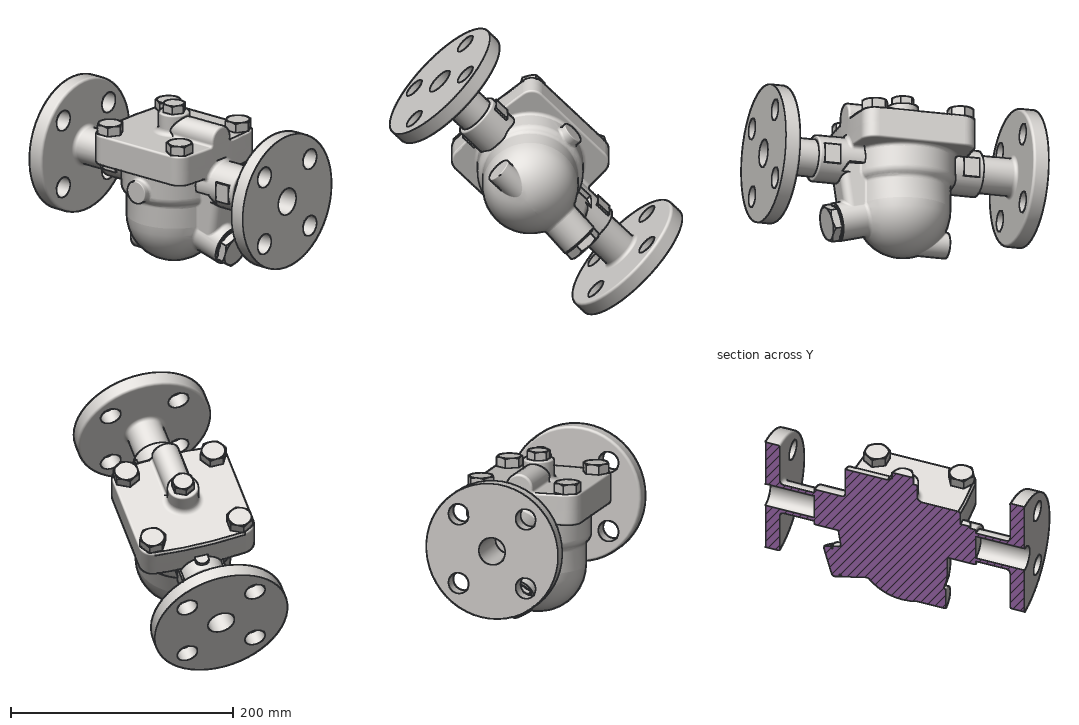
import cadquery as cq
import math

FACE_TO_FACE = 250.0
FLANGE_DIA = 125.0
FLANGE_THICKNESS = 14.4
FLANGE_EDGE_RADIUS = 2.5
FLANGE_HOLE_DIA = 19.0
FLANGE_HOLE_CIRCLE = 90.0
FLANGE_HOLE_COUNT = 4
FLANGE_HOLE_START = 180.0 / FLANGE_HOLE_COUNT
BORE_DIA = 25.0
PIPE_DIA = 34.0
PIPE_ROOT_RADIUS = 3.5

HUB_DIA = 42.0
HUB_END = 78.0
HUB_EDGE_RADIUS = 1.5
HUB_ROOT_RADIUS = 3.0
HUB_PAD_LENGTH = 15.0
HUB_PAD_HEIGHT = 17.6
HUB_PAD_CENTER = 66.1
LUG_RADIUS = 6.2
LUG_CENTER = 66.3
BORE_DEPTH = FACE_TO_FACE / 2 - HUB_END

BODY_X = -7.5
BOWL_RADIUS = 43.0
BOWL_BOTTOM = -84.0
BOWL_CENTER_Z = BOWL_BOTTOM + BOWL_RADIUS
NECK_RADIUS = 47.5
NECK_ROOT_RADIUS = 3.0
SHOULDER_TOP = -11.8
SHOULDER_MIDDLE = -18.3
SHOULDER_BOTTOM = -22.2

COVER_BOTTOM = 9.2
COVER_SPLIT = 23.2
COVER_TOP = 37.5
COVER_EDGE_RADIUS = 2.0
COVER_HALF_X = 55.8
COVER_HALF_Y = 54.0
CORNER_RADIUS = 13.0
BOLT_X = 40.7
BOLT_Y = COVER_HALF_Y - CORNER_RADIUS
BOLT_HEAD_FLATS = 21.0
BOLT_HEAD_HEIGHT = 9.0
QUARTER_TURN = 90.0

COVER_BOSS_DIA = 28.0
COVER_BOSS_TOP = 56.2
COVER_BOSS_ROOT_RADIUS = 5.0
COVER_BOSS_EDGE_RADIUS = 1.5
COVER_PLUG_CORNERS = 21.0
COVER_PLUG_TOP = 64.0
PASSAGE_RADIUS = 12.6
PASSAGE_TOP = 53.9
PASSAGE_ROOT_RADIUS = 2.5

SIDE_BOSS_DIA = 21.0
SIDE_BOSS_Z = -7.3
SIDE_BOSS_FACE = 53.4
SIDE_BOSS_ROOT_RADIUS = 2.5
SMALL_EDGE_RADIUS = 0.8

LOW_BOSS_DIA = 23.6
LOW_BOSS_Z = -70.0
LOW_BOSS_FACE = -49.0
LOW_BOSS_ROOT_RADIUS = 1.0

STRAINER_ANGLE = 15.0
STRAINER_DIA = 35.0
STRAINER_LENGTH = 66.0
STRAINER_HEAD_START = 67.0
STRAINER_HEAD_END = 75.0
STRAINER_HEAD_CORNERS = 34.6
STRAINER_ROOT_RADIUS = 3.5
RIB_HALF_WIDTH = 15.5
RIB_CORNER_RADIUS = 7.5
RIB_ROOT_RADIUS = 2.5
RIB_OUTER_X = 58.0
RIB_LEAN = 8.5
RIB_RECESS_TOP = -5.6
RIB_RECESS_TOP_X = 49.6
RIB_RECESS_BOTTOM_X = 60.0

CORNER_TO_FLAT = math.cos(math.pi / 6)
HEX_CHAMFER_ANGLE = 30.0

SURFACE_TOLERANCE = 0.001


def on_surface(edge, shape):
    """Tell whether the middle of an edge lies on the skin of a shape."""
    middle = cq.Vertex.makeVertex(*edge.positionAt(0.5).toTuple())
    return shape.shells().val().distance(middle) < SURFACE_TOLERANCE


def blend(base, addition, radius):
    """Join two shapes and round the seam where their surfaces meet."""
    joined = base.union(addition)
    seam = [
        edge for edge in joined.edges().vals()
        if on_surface(edge, base) and on_surface(edge, addition)
    ]
    return joined.newObject(seam).fillet(radius)


def cylinder_x(dia, x_start, x_end, z=0.0):
    """Solid round bar along X."""
    return cq.Workplane("YZ", origin=(x_start, 0, z)).circle(dia / 2).extrude(x_end - x_start)


def hex_head(corners, height, turn=0.0):
    """Hexagonal head standing on the XY plane, top corners chamfered down to the flats."""
    prism = cq.Workplane("XY").polygon(6, corners).extrude(height)
    prism = prism.rotate((0, 0, 0), (0, 0, 1), turn)
    chamfer_width = corners / 2 * (1 - CORNER_TO_FLAT)
    chamfer_drop = chamfer_width * math.tan(math.radians(HEX_CHAMFER_ANGLE))
    cap = cq.Workplane("XY").circle(corners / 2).extrude(height)
    cap = cap.faces(">Z").edges().chamfer(chamfer_drop, chamfer_width)
    return prism.intersect(cap)


def line_side():
    """Flange, pipe and hub on the -X side, with bolt holes and a blind bore."""
    end = -FACE_TO_FACE / 2
    flange = cylinder_x(FLANGE_DIA, end, end + FLANGE_THICKNESS)
    flange = flange.faces(">X").edges().fillet(FLANGE_EDGE_RADIUS)
    hub = cylinder_x(HUB_DIA, -HUB_END, BODY_X).faces("<X").edges().fillet(HUB_EDGE_RADIUS)
    root_face = end + FLANGE_THICKNESS
    pipe = (
        cq.Workplane("XY")
        .moveTo(end, 0)
        .lineTo(end, PIPE_DIA / 2 + PIPE_ROOT_RADIUS)
        .lineTo(root_face, PIPE_DIA / 2 + PIPE_ROOT_RADIUS)
        .radiusArc((root_face + PIPE_ROOT_RADIUS, PIPE_DIA / 2), -PIPE_ROOT_RADIUS)
        .lineTo(BODY_X, PIPE_DIA / 2)
        .lineTo(BODY_X, 0)
        .close()
        .revolve(360, (0, 0, 0), (1, 0, 0))
    )
    side = flange.union(pipe).union(hub)
    holes = (
        cq.Workplane("YZ", origin=(end, 0, 0))
        .polarArray(FLANGE_HOLE_CIRCLE / 2, FLANGE_HOLE_START, 360, FLANGE_HOLE_COUNT)
        .circle(FLANGE_HOLE_DIA / 2)
        .extrude(FLANGE_THICKNESS)
    )
    side = side.cut(holes).cut(cylinder_x(BORE_DIA, end, end + BORE_DEPTH))
    return side


def hub_pads():
    """Block through the inlet hub whose ends form its two flat rectangular pads."""
    block = cq.Workplane("XY").box(HUB_PAD_LENGTH, HUB_DIA, HUB_PAD_HEIGHT)
    return block.translate((-HUB_PAD_CENTER, 0, 0))


def hub_lug():
    """Round-ended lug on top of the inlet hub, running under the cover."""
    length = LUG_CENTER - COVER_HALF_X
    lug = cq.Workplane("XY").center(-LUG_CENTER, 0).circle(LUG_RADIUS).extrude(COVER_SPLIT)
    bar = cq.Workplane("XY").center(-LUG_CENTER + length / 2, 0)
    return lug.union(bar.rect(length, 2 * LUG_RADIUS).extrude(COVER_SPLIT))


def body():
    """Neck, shoulder and hemispherical bowl turned about the vertical axis."""
    shoulder_slope = (NECK_RADIUS - BOWL_RADIUS) / (SHOULDER_TOP - SHOULDER_BOTTOM)
    shoulder_radius = BOWL_RADIUS + shoulder_slope * (SHOULDER_MIDDLE - SHOULDER_BOTTOM)
    arc_share = BOWL_RADIUS * math.sqrt(0.5)
    profile = (
        cq.Workplane("XZ")
        .moveTo(0, BOWL_BOTTOM)
        .threePointArc((arc_share, BOWL_CENTER_Z - arc_share), (BOWL_RADIUS, BOWL_CENTER_Z))
        .lineTo(BOWL_RADIUS, SHOULDER_BOTTOM)
        .tangentArcPoint((shoulder_radius, SHOULDER_MIDDLE), relative=False)
        .tangentArcPoint((NECK_RADIUS, SHOULDER_TOP), relative=False)
        .lineTo(NECK_RADIUS, COVER_BOTTOM - NECK_ROOT_RADIUS)
        .radiusArc((NECK_RADIUS + NECK_ROOT_RADIUS, COVER_BOTTOM), NECK_ROOT_RADIUS)
        .lineTo(0, COVER_BOTTOM)
        .close()
    )
    return profile.revolve(360, (0, 0, 0), (0, 1, 0)).translate((BODY_X, 0, 0))


def cover_plate(bottom, top):
    """Plate with straight Y sides, bowed X sides and corners tangent to both."""
    inner = COVER_HALF_X - CORNER_RADIUS
    bow_center = (BOLT_X**2 + BOLT_Y**2 - inner**2) / (2 * (BOLT_X - inner))
    bow_angle = math.atan2(BOLT_Y, BOLT_X - bow_center)
    tangent_x = BOLT_X + CORNER_RADIUS * math.cos(bow_angle)
    tangent_y = BOLT_Y + CORNER_RADIUS * math.sin(bow_angle)
    outline = (
        cq.Workplane("XY", origin=(BODY_X, 0, bottom))
        .moveTo(-BOLT_X, COVER_HALF_Y)
        .lineTo(BOLT_X, COVER_HALF_Y)
        .radiusArc((tangent_x, tangent_y), CORNER_RADIUS)
        .threePointArc((COVER_HALF_X, 0), (tangent_x, -tangent_y))
        .radiusArc((BOLT_X, -COVER_HALF_Y), CORNER_RADIUS)
        .lineTo(-BOLT_X, -COVER_HALF_Y)
        .radiusArc((-tangent_x, -tangent_y), CORNER_RADIUS)
        .threePointArc((-COVER_HALF_X, 0), (-tangent_x, tangent_y))
        .radiusArc((-BOLT_X, COVER_HALF_Y), CORNER_RADIUS)
        .close()
    )
    return outline.extrude(top - bottom)


def cover_passage():
    """Round-topped passage running from the central boss past the outlet end of the cover."""
    axis_z = PASSAGE_TOP - PASSAGE_RADIUS
    section = (
        cq.Workplane("YZ", origin=(BODY_X, 0, 0))
        .moveTo(-PASSAGE_RADIUS, COVER_SPLIT)
        .lineTo(-PASSAGE_RADIUS, axis_z)
        .threePointArc((0, PASSAGE_TOP), (PASSAGE_RADIUS, axis_z))
        .lineTo(PASSAGE_RADIUS, COVER_SPLIT)
        .close()
    )
    return section.extrude(COVER_HALF_X + CORNER_RADIUS)


def cover_boss():
    """Central round boss with a rounded top rim."""
    boss = cq.Workplane("XY", origin=(BODY_X, 0, COVER_SPLIT)).circle(COVER_BOSS_DIA / 2)
    boss = boss.extrude(COVER_BOSS_TOP - COVER_SPLIT)
    return boss.faces(">Z").edges().fillet(COVER_BOSS_EDGE_RADIUS)


def cover():
    """Cover plate with its passage and central boss, trimmed to the plate outline."""
    size = 3 * COVER_HALF_X
    slab = cq.Workplane("XY", origin=(BODY_X, 0, COVER_SPLIT)).rect(size, size)
    slab = slab.extrude(COVER_TOP - COVER_SPLIT)
    outline = cover_plate(COVER_SPLIT, COVER_BOSS_TOP)
    shape = blend(slab, cover_passage(), PASSAGE_ROOT_RADIUS).intersect(outline)
    rim = [
        edge for edge in shape.edges().vals()
        if on_surface(edge, outline) and edge.BoundingBox().zmin > COVER_TOP - SURFACE_TOLERANCE
    ]
    shape = shape.newObject(rim).fillet(COVER_EDGE_RADIUS)
    bossed = blend(slab, cover_boss(), COVER_BOSS_ROOT_RADIUS)
    boss_foot = cq.Workplane("XY", origin=(BODY_X, 0, COVER_SPLIT)).circle(COVER_BOSS_DIA)
    shape = shape.union(bossed.intersect(boss_foot.extrude(COVER_BOSS_TOP - COVER_SPLIT)))
    plug = hex_head(COVER_PLUG_CORNERS, COVER_PLUG_TOP - COVER_BOSS_TOP)
    return shape.union(plug.translate((BODY_X, 0, COVER_BOSS_TOP)))


def cover_bolts():
    """Four bolt heads, each turned a quarter turn from its neighbours."""
    corners = BOLT_HEAD_FLATS / CORNER_TO_FLAT
    bolts = cq.Workplane("XY")
    for side_x in (-1, 1):
        for side_y in (-1, 1):
            turn = 0 if side_x == side_y else QUARTER_TURN
            head = hex_head(corners, BOLT_HEAD_HEIGHT, turn)
            place = (BODY_X + side_x * BOLT_X, side_y * BOLT_Y, COVER_TOP)
            bolts = bolts.add(head.translate(place))
    return bolts


def side_boss():
    """Round boss on the -Y side of the neck with rounded rim."""
    bar = (
        cq.Workplane("XZ", origin=(BODY_X, 0, SIDE_BOSS_Z))
        .circle(SIDE_BOSS_DIA / 2)
        .extrude(SIDE_BOSS_FACE)
    )
    return bar.faces("<Y").edges().fillet(SMALL_EDGE_RADIUS)


def low_boss():
    """Horizontal boss pointing to the inlet side, low on the bowl."""
    bar = cylinder_x(LOW_BOSS_DIA, LOW_BOSS_FACE, BODY_X, LOW_BOSS_Z)
    return bar.faces("<X").edges().fillet(SMALL_EDGE_RADIUS)


def incline(shape):
    """Lay a shape built along +Z onto the strainer axis through the bowl centre."""
    tilted = shape.rotate((0, 0, 0), (0, 1, 0), 90 + STRAINER_ANGLE)
    return tilted.translate((BODY_X, 0, BOWL_CENTER_Z))


def strainer_boss():
    """Inclined round boss that leaves the bowl on the outlet side."""
    return incline(cq.Workplane("XY").circle(STRAINER_DIA / 2).extrude(STRAINER_LENGTH))


def strainer_plug():
    """Short round seat and hexagonal plug closing the strainer boss."""
    seat_radius = STRAINER_HEAD_CORNERS / 2 * CORNER_TO_FLAT
    seat = cq.Workplane("XY", origin=(0, 0, STRAINER_LENGTH)).circle(seat_radius)
    seat = seat.extrude(STRAINER_HEAD_START - STRAINER_LENGTH)
    head = hex_head(STRAINER_HEAD_CORNERS, STRAINER_HEAD_END - STRAINER_HEAD_START)
    return incline(seat.union(head.translate((0, 0, STRAINER_HEAD_START))))


def rib():
    """Leaning block from the outlet hub down to the strainer axis, outer corners rounded."""
    lean = math.tan(math.radians(RIB_LEAN))
    fall = math.tan(math.radians(STRAINER_ANGLE))
    span = (RIB_OUTER_X - BODY_X + lean * BOWL_CENTER_Z) / (1 + lean * fall)
    block = (
        cq.Workplane("XZ", origin=(0, RIB_HALF_WIDTH, 0))
        .moveTo(BODY_X, BOWL_CENTER_Z)
        .lineTo(BODY_X + span, BOWL_CENTER_Z - fall * span)
        .lineTo(RIB_OUTER_X, 0)
        .lineTo(BODY_X, 0)
        .close()
        .extrude(2 * RIB_HALF_WIDTH)
    )
    return block.edges("not |Y").edges(">X").fillet(RIB_CORNER_RADIUS)


def rib_recess():
    """Wedges cut from the underside of the outlet hub on both sides of the rib."""
    hub_radius = HUB_DIA / 2
    wedge = (
        cq.Workplane("XZ", origin=(0, hub_radius, 0))
        .moveTo(BODY_X, RIB_RECESS_TOP)
        .lineTo(RIB_RECESS_TOP_X, RIB_RECESS_TOP)
        .lineTo(RIB_RECESS_BOTTOM_X, -hub_radius)
        .lineTo(BODY_X, -hub_radius)
        .close()
        .extrude(HUB_DIA)
    )
    middle = cq.Workplane("XY").box(FACE_TO_FACE, 2 * RIB_HALF_WIDTH, FLANGE_DIA)
    return wedge.cut(middle)


inlet_side = line_side()
outlet_side = inlet_side.mirror("YZ").cut(rib_recess())
body_flange = cover_plate(COVER_BOTTOM, COVER_SPLIT).faces("<Z").edges().fillet(COVER_EDGE_RADIUS)
flange_and_outlet = blend(body_flange, outlet_side, HUB_ROOT_RADIUS)

result = blend(body(), strainer_boss(), STRAINER_ROOT_RADIUS)
result = blend(result, side_boss(), SIDE_BOSS_ROOT_RADIUS)
result = blend(result, low_boss(), LOW_BOSS_ROOT_RADIUS)
result = blend(result, rib(), RIB_ROOT_RADIUS)
result = result.union(flange_and_outlet).union(inlet_side).union(hub_lug()).union(strainer_plug())
result = result.union(hub_pads()).union(hub_pads().mirror("YZ"))
result = result.union(cover(), clean=False).union(cover_bolts().combine(), clean=False)